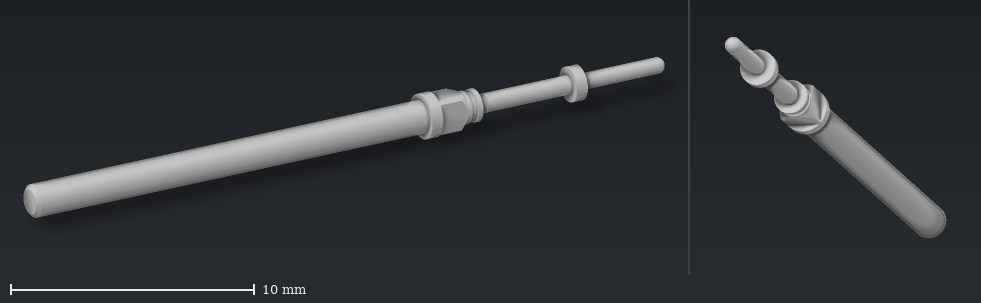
import cadquery as cq

LENGTH = 29.9

BARREL_DIA = 1.4
BARREL_RADIUS = BARREL_DIA / 2
REAR_CHAMFER_LENGTH = 0.15
REAR_FACE_DIA = 1.08

FLANGE_DIA = 1.9
FLANGE_RADIUS = FLANGE_DIA / 2
FLANGE_REAR = 18.48
FLANGE_WIDTH = 0.5
FLANGE_FRONT = FLANGE_REAR + FLANGE_WIDTH

SQUARE_SIZE = BARREL_DIA
SQUARE_FRONT = 20.3
LEAD_IN_LENGTH = 0.3

GROOVE_REAR = 20.5
GROOVE_STEP = 20.65
GROOVE_FRONT = 20.8
GROOVE_REAR_DIA = 1.2
GROOVE_FRONT_DIA = 1.23
DISC_FRONT = 21.02

NECK_DIA = 0.72
NECK_FRONT = 21.4
STEM_DIA = 0.8

COLLAR_DIA = 1.5
COLLAR_REAR = 25.42
COLLAR_WIDTH = 0.5
COLLAR_FRONT = COLLAR_REAR + COLLAR_WIDTH
PIN_DIA = 0.7
TIP_RADIUS = 0.3


def shaft(radius, rear, front):
    """Solid cylinder about the Y axis between two stations."""
    return cq.Workplane("XZ", origin=(0, rear, 0)).circle(radius).extrude(rear - front)


def barrel():
    """Rear barrel up to the groove, with the flange and a chamfered rear end."""
    profile = [
        (0, 0),
        (REAR_FACE_DIA / 2, 0),
        (BARREL_RADIUS, REAR_CHAMFER_LENGTH),
        (BARREL_RADIUS, FLANGE_REAR),
        (FLANGE_RADIUS, FLANGE_REAR),
        (FLANGE_RADIUS, FLANGE_FRONT),
        (BARREL_RADIUS, FLANGE_FRONT),
        (BARREL_RADIUS, GROOVE_REAR),
        (0, GROOVE_REAR),
    ]
    return cq.Workplane("XY").polyline(profile).close().revolve(360, (0, 0, 0), (0, 1, 0))


def wrench_square():
    """Square bar trimmed by a round blank with a conical front."""
    blank_profile = [
        (0, FLANGE_REAR),
        (FLANGE_RADIUS, FLANGE_REAR),
        (FLANGE_RADIUS, SQUARE_FRONT - LEAD_IN_LENGTH),
        (BARREL_RADIUS, SQUARE_FRONT),
        (0, SQUARE_FRONT),
    ]
    blank = cq.Workplane("XY").polyline(blank_profile).close().revolve(360, (0, 0, 0), (0, 1, 0))
    bar_length = SQUARE_FRONT - FLANGE_REAR
    bar_middle = (FLANGE_REAR + SQUARE_FRONT) / 2
    bar = cq.Workplane("XY").box(SQUARE_SIZE, bar_length, SQUARE_SIZE).translate((0, bar_middle, 0))
    return blank.intersect(bar)


def contact_pin():
    """Front pin with a rounded tip."""
    return shaft(PIN_DIA / 2, COLLAR_REAR, LENGTH).faces(">Y").edges().fillet(TIP_RADIUS)


SHAFT_STEPS = [
    (GROOVE_REAR_DIA, GROOVE_REAR, GROOVE_STEP),
    (GROOVE_FRONT_DIA, GROOVE_STEP, GROOVE_FRONT),
    (BARREL_DIA, GROOVE_FRONT, DISC_FRONT),
    (NECK_DIA, DISC_FRONT, NECK_FRONT),
    (STEM_DIA, NECK_FRONT, COLLAR_REAR),
    (COLLAR_DIA, COLLAR_REAR, COLLAR_FRONT),
]

result = barrel().union(wrench_square())
for diameter, rear, front in SHAFT_STEPS:
    result = result.union(shaft(diameter / 2, rear, front))
result = result.union(contact_pin())